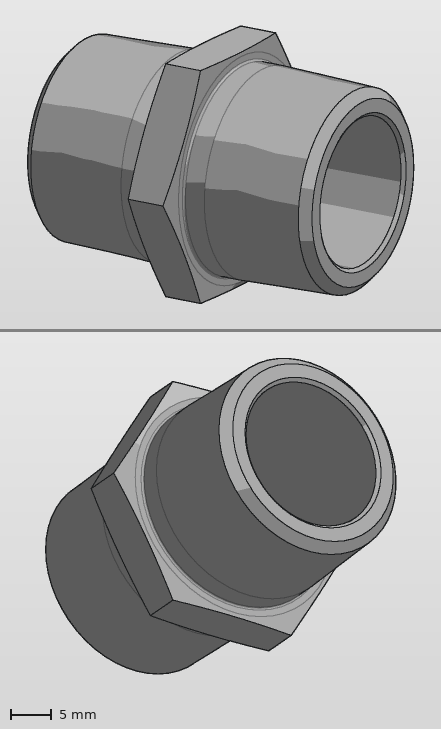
import cadquery as cq
import math

length = 41.0
bore_diameter = 19.0
thread_diameter = 26.75

hex_across_flats = 30.0
hex_width = 6.0
hex_bevel_angle = 10.0
hex_bevel_start_radius = 14.5

neck_end = 6.0
taper_ratio = 1 / 16
end_chamfer = 1.22
bore_chamfer = 0.45
root_fillet = 0.27

half_length = length / 2
half_hex = hex_width / 2
hex_across_corners = hex_across_flats / math.cos(math.radians(30))
hex_corner_radius = hex_across_corners / 2
thread_radius = thread_diameter / 2
taper_end = half_length - end_chamfer
taper_end_radius = thread_radius - (taper_end - neck_end) * taper_ratio / 2


def make_hex_collar():
    """Hexagon along X with corners on Y, both faces bevelled by a cone."""
    prism = (
        cq.Workplane("YZ")
        .polygon(6, hex_across_corners)
        .extrude(half_hex, both=True)
    )
    bevel_drop = (hex_corner_radius - hex_bevel_start_radius) * math.tan(math.radians(hex_bevel_angle))
    envelope = (
        cq.Workplane("XY")
        .moveTo(-half_hex, 0)
        .lineTo(-half_hex, hex_bevel_start_radius)
        .lineTo(-half_hex + bevel_drop, hex_corner_radius)
        .lineTo(half_hex - bevel_drop, hex_corner_radius)
        .lineTo(half_hex, hex_bevel_start_radius)
        .lineTo(half_hex, 0)
        .close()
        .revolve(360, (0, 0, 0), (1, 0, 0))
    )
    return prism.intersect(envelope)


def make_threaded_end():
    """Solid +X end: root fillet, straight neck, tapered thread, end chamfer."""
    fillet_middle = root_fillet * (1 - math.sqrt(0.5))
    return (
        cq.Workplane("XY")
        .lineTo(0, thread_radius + root_fillet)
        .lineTo(half_hex, thread_radius + root_fillet)
        .threePointArc(
            (half_hex + fillet_middle, thread_radius + fillet_middle),
            (half_hex + root_fillet, thread_radius),
        )
        .lineTo(neck_end, thread_radius)
        .lineTo(taper_end, taper_end_radius)
        .lineTo(half_length, taper_end_radius - end_chamfer)
        .lineTo(half_length, 0)
        .close()
        .revolve(360, (0, 0, 0), (1, 0, 0))
    )


def make_bore():
    """Through bore along X with a chamfer at each mouth."""
    bore_radius = bore_diameter / 2
    mouth_radius = bore_radius + bore_chamfer
    return (
        cq.Workplane("XY")
        .moveTo(-half_length, 0)
        .lineTo(-half_length, mouth_radius)
        .lineTo(-half_length + bore_chamfer, bore_radius)
        .lineTo(half_length - bore_chamfer, bore_radius)
        .lineTo(half_length, mouth_radius)
        .lineTo(half_length, 0)
        .close()
        .revolve(360, (0, 0, 0), (1, 0, 0))
    )


threaded_end = make_threaded_end()
result = (
    make_hex_collar()
    .union(threaded_end)
    .union(threaded_end.mirror("YZ"))
    .cut(make_bore())
)